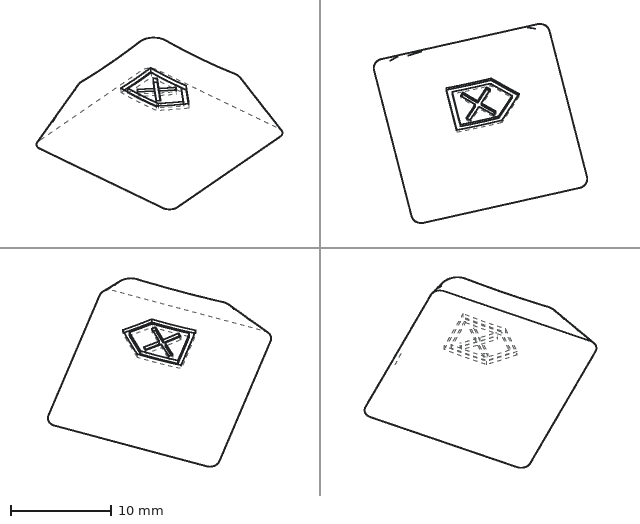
import cadquery as cq

base_side = 18.0
base_corner_radius = 1.0
taper_height = 7.2
taper_inset = 2.88
taper_top_corner_radius = 2.05

dish_radius = 35.0
dish_lowest_z = 5.89
rim_fillet = 0.54

engraving_depth = 0.5
symbol_center_y = -0.1
tag_left_x = -3.0
tag_shoulder_x = 1.62
tag_half_height = 2.3
tag_line_width = 0.5
cross_center_x = -0.25
cross_bar_length = 3.85
cross_bar_width = 0.43


def rounded_square(side, corner_radius, z):
    outline = cq.Sketch().rect(side, side).vertices().fillet(corner_radius)
    return outline.moved(cq.Location(cq.Vector(0, 0, z)))


def dish_sphere(lowest_z):
    return cq.Workplane("XY").sphere(dish_radius).translate((0, 0, lowest_z + dish_radius))


def tapered_body():
    base = rounded_square(base_side, base_corner_radius, 0)
    top = rounded_square(base_side - 2 * taper_inset, taper_top_corner_radius, taper_height)
    return cq.Workplane("XY").placeSketch(base, top).loft(ruled=True)


def dished_body():
    body = tapered_body().cut(dish_sphere(dish_lowest_z))
    return body.faces("%SPHERE").edges().fillet(rim_fillet)


def tag_outline():
    tip_x = tag_shoulder_x + tag_half_height
    outline = cq.Workplane("XY").polyline([
        (tag_left_x, -tag_half_height),
        (tag_shoulder_x, -tag_half_height),
        (tip_x, 0),
        (tag_shoulder_x, tag_half_height),
        (tag_left_x, tag_half_height),
    ]).close()
    inner = outline.offset2D(-tag_line_width, "intersection").extrude(taper_height)
    outer = outline.wires().toPending().extrude(taper_height)
    return outer.cut(inner)


def diagonal_cross():
    bar = cq.Workplane("XY").rect(cross_bar_length, cross_bar_width).extrude(taper_height)
    rising_bar = bar.rotate((0, 0, 0), (0, 0, 1), 45)
    falling_bar = bar.rotate((0, 0, 0), (0, 0, 1), -45)
    return rising_bar.union(falling_bar).translate((cross_center_x, 0, 0))


def symbol_cutter():
    symbol = tag_outline().union(diagonal_cross()).translate((0, symbol_center_y, 0))
    return symbol.intersect(dish_sphere(dish_lowest_z - engraving_depth))


result = dished_body().cut(symbol_cutter())